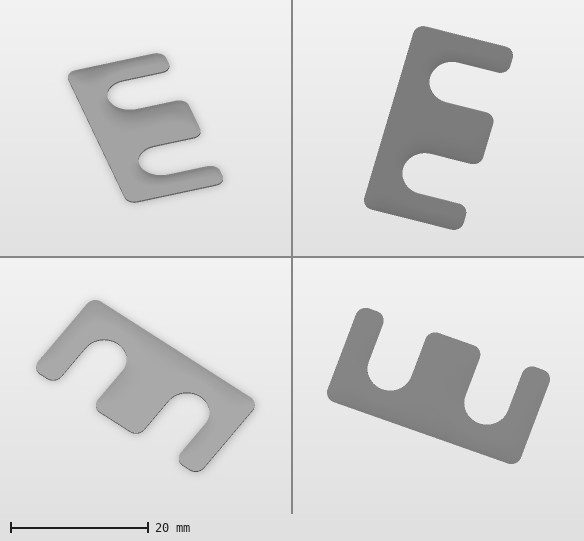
import cadquery as cq

length = 30.0
width = length / 2
thickness = 0.25
corner_radius = 1.5

slot_width = 6.6
slot_spacing = length / 2
slot_radius = slot_width / 2
slot_end_y = 0.0


def slot_cutter(center_x):
    """Slot with a round inner end, open at the +Y edge of the plate."""
    open_y = width / 2
    return (
        cq.Workplane("XY")
        .moveTo(center_x - slot_radius, open_y)
        .lineTo(center_x - slot_radius, slot_end_y)
        .threePointArc(
            (center_x, slot_end_y - slot_radius),
            (center_x + slot_radius, slot_end_y),
        )
        .lineTo(center_x + slot_radius, open_y)
        .close()
        .extrude(thickness)
    )


plate = cq.Workplane("XY").box(length, width, thickness, centered=(True, True, False))
for side in (-1, 1):
    plate = plate.cut(slot_cutter(side * slot_spacing / 2))

open_edge_corners = plate.faces(">Y").edges("|Z")
back_edge_corners = plate.faces("<Y").edges("|Z")
result = plate.newObject(open_edge_corners.vals() + back_edge_corners.vals()).fillet(corner_radius)